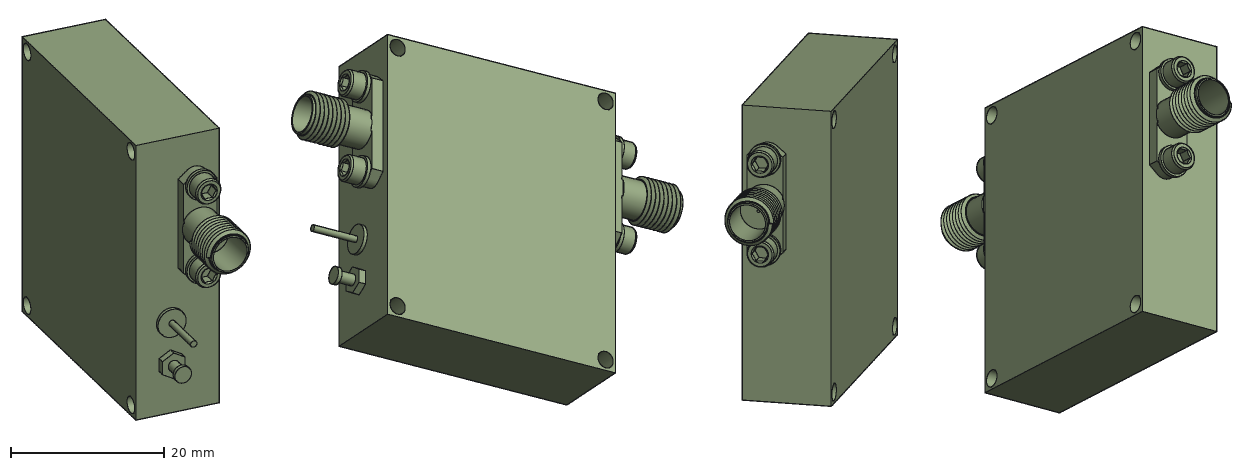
import cadquery as cq
import math

overall_width = 56.85

body_width = 35.0
body_depth = 12.0
body_height = 40.0
mount_hole_diameter = 2.35
mount_hole_inset = 1.55

connector_reach = (overall_width - body_width) / 2
connector_back_inset = 3.5
connector_top_inset = 12.7
connector_y = body_depth / 2 - connector_back_inset
connector_z = body_height / 2 - connector_top_inset
flange_thickness = 1.7
flange_width = 4.8
flange_end_radius = 1.8
flange_flat_overrun = 0.4
screw_offset = 6.1
barrel_diameter = 5.3
barrel_neck = 0.15
bore_diameter = 4.85
bore_depth = 5.7
contact_hole_diameter = 0.35
contact_hole_depth = 1.7

thread_diameter = 6.5
thread_root_diameter = 5.55
thread_length = 5.2
thread_turns = 8
thread_pitch = thread_length / thread_turns
thread_root_gap = 0.01
thread_outer_end = 10.5
thread_base_width = thread_pitch - thread_root_gap
thread_embed = 0.05

washer_diameter = 4.25
washer_thickness = 0.5
head_diameter = 3.65
head_length = 2.2
head_chamfer_length = 0.3
head_chamfer_width = 0.15
socket_flats = 1.9
socket_depth = 1.7
socket_mouth_diameter = 2.35
socket_mouth_depth = 0.2

terminal_y = -1.0
pin_z = -6.7
pin_diameter = 0.9
pin_reach = 7.15
pin_collar_diameter = 4.05
pin_collar_thickness = 0.5
turret_z = -12.7
turret_hex_corners = 3.75
turret_hex_thickness = 1.0
turret_post_diameter = 1.6
turret_cap_diameter = 2.4
turret_cap_thickness = 0.55
turret_reach = 3.9


def cylinder(diameter, start, end):
    """Cylinder along local Z between two heights."""
    return cq.Workplane("XY").workplane(offset=start).circle(diameter / 2).extrude(end - start)


def make_body():
    hole_spacing_x = body_width - 2 * mount_hole_inset
    hole_spacing_z = body_height - 2 * mount_hole_inset
    return (
        cq.Workplane("XZ")
        .rect(body_width, body_height)
        .extrude(body_depth / 2, both=True)
        .faces("<Y")
        .workplane(origin=(0, 0, 0))
        .rect(hole_spacing_x, hole_spacing_z, forConstruction=True)
        .vertices()
        .hole(mount_hole_diameter)
    )


def make_flange():
    """Long plate whose straight sides taper tangentially into rounded ends."""
    half_width = flange_width / 2
    corner_y = screw_offset + flange_flat_overrun
    corner_distance = math.hypot(half_width, flange_flat_overrun)
    corner_angle = math.atan2(flange_flat_overrun, half_width)
    tangent_angle = corner_angle + math.acos(flange_end_radius / corner_distance)
    tangent_x = flange_end_radius * math.cos(tangent_angle)
    tangent_y = screw_offset + flange_end_radius * math.sin(tangent_angle)
    end_y = screw_offset + flange_end_radius
    return (
        cq.Workplane("XY")
        .moveTo(half_width, -corner_y)
        .lineTo(half_width, corner_y)
        .lineTo(tangent_x, tangent_y)
        .threePointArc((0, end_y), (-tangent_x, tangent_y))
        .lineTo(-half_width, corner_y)
        .lineTo(-half_width, -corner_y)
        .lineTo(-tangent_x, -tangent_y)
        .threePointArc((0, -end_y), (tangent_x, -tangent_y))
        .close()
        .extrude(flange_thickness)
    )


def make_screw():
    """Washer and socket head screw standing on the flange face."""
    head_base = flange_thickness + washer_thickness
    head_top = head_base + head_length
    washer = cylinder(washer_diameter, flange_thickness, head_base)
    head = (
        cylinder(head_diameter, head_base, head_top)
        .faces(">Z")
        .chamfer(head_chamfer_length, head_chamfer_width)
    )
    socket_corners = socket_flats / math.cos(math.pi / 6)
    socket = (
        cq.Workplane("XY")
        .workplane(offset=head_top - socket_depth)
        .polygon(6, socket_corners)
        .extrude(socket_depth)
    )
    mouth = (
        cq.Workplane("XY")
        .workplane(offset=head_top)
        .circle(socket_mouth_diameter / 2)
        .workplane(offset=-socket_mouth_depth)
        .circle(socket_flats / 2)
        .loft()
    )
    return washer.union(head).cut(socket).cut(mouth)


def make_thread():
    """Helical ridge wound round the barrel, pointed above its straight root."""
    base_radius = barrel_diameter / 2 - thread_embed
    root_radius = thread_root_diameter / 2
    crest_radius = thread_diameter / 2
    path = cq.Wire.makeHelix(thread_pitch, thread_length, base_radius)
    ridge = (
        cq.Workplane("XZ")
        .polyline([
            (base_radius, -thread_base_width / 2),
            (root_radius, -thread_base_width / 2),
            (crest_radius, 0),
            (root_radius, thread_base_width / 2),
            (base_radius, thread_base_width / 2),
        ])
        .close()
        .sweep(cq.Workplane(path), isFrenet=True)
    )
    return ridge.translate((0, 0, thread_outer_end - thread_length))


def make_connector():
    """Connector along local Z, with the housing side at zero height."""
    neck_end = flange_thickness + barrel_neck
    neck_trim = cq.Workplane("XY").rect(flange_width, barrel_diameter).extrude(neck_end)
    neck = cylinder(barrel_diameter, 0, neck_end).intersect(neck_trim)
    bore_floor = connector_reach - bore_depth
    connector = make_flange().union(neck)
    connector = connector.union(cylinder(barrel_diameter, neck_end, connector_reach))
    connector = connector.union(make_thread())
    connector = connector.cut(cylinder(bore_diameter, bore_floor, connector_reach))
    connector = connector.cut(cylinder(contact_hole_diameter, bore_floor - contact_hole_depth, bore_floor))
    for offset in (-screw_offset, screw_offset):
        connector = connector.union(make_screw().translate((0, offset, 0)))
    return connector


def make_pin():
    collar = cylinder(pin_collar_diameter, 0, pin_collar_thickness)
    return collar.union(cylinder(pin_diameter, 0, pin_reach))


def make_turret():
    hex_base = cq.Workplane("XY").polygon(6, turret_hex_corners).extrude(turret_hex_thickness)
    hex_base = hex_base.rotate((0, 0, 0), (0, 0, 1), 90)
    post = cylinder(turret_post_diameter, 0, turret_reach)
    cap = cylinder(turret_cap_diameter, turret_reach - turret_cap_thickness, turret_reach)
    return hex_base.union(post).union(cap)


def mount_on_side(feature, side, y, z):
    """Stand a feature on the +X (side 1) or -X (side -1) face, its local X toward -Y."""
    seat = cq.Plane(origin=(side * body_width / 2, y, z), xDir=(0, -1, 0), normal=(side, 0, 0))
    return cq.Workplane(feature.val().moved(cq.Location(seat)))


result = make_body()
connector_shape = make_connector()
for side in (-1, 1):
    result = result.union(mount_on_side(connector_shape, side, connector_y, connector_z))
result = result.union(mount_on_side(make_pin(), 1, terminal_y, pin_z))
result = result.union(mount_on_side(make_turret(), 1, terminal_y, turret_z))